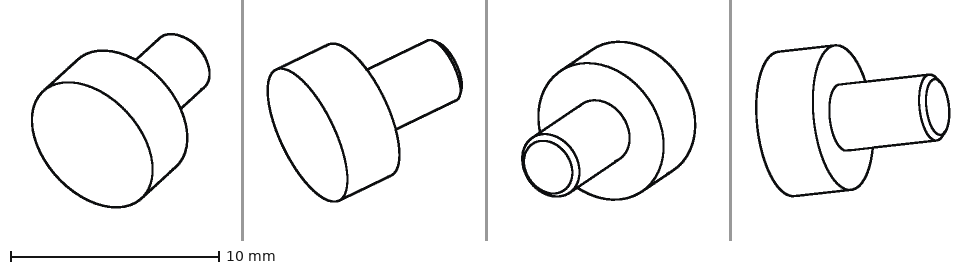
import cadquery as cq

head_diameter = 7.0
head_thickness = 3.0
shank_diameter = 3.2
shank_length = 5.0
tip_chamfer = 0.25


def make_pin():
    """Revolve the half profile, drawn in the YZ plane, around the Y axis."""
    head_radius = head_diameter / 2
    shank_radius = shank_diameter / 2
    profile = (
        cq.Workplane("YZ")
        .moveTo(-head_thickness, 0)
        .lineTo(-head_thickness, head_radius)
        .lineTo(0, head_radius)
        .lineTo(0, shank_radius)
        .lineTo(shank_length - tip_chamfer, shank_radius)
        .lineTo(shank_length, shank_radius - tip_chamfer)
        .lineTo(shank_length, 0)
        .close()
    )
    return profile.revolve(360, (0, 0), (1, 0))


result = make_pin()